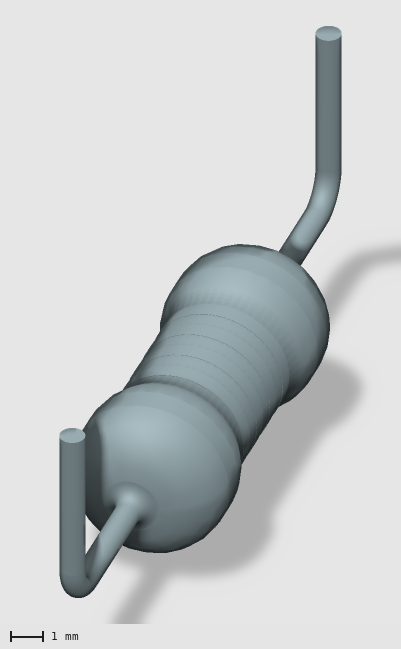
import cadquery as cq
import math

overall_length = 23.3
overall_height = 8.6

cap_diameter = 5.0
core_diameter = 4.25
body_length = 12.02
round_start = 4.26
cap_inner_edge = 3.5

band_diameter = 4.26
band_width = 0.55
band_pitch = 1.15
band_count = 4

lead_diameter = 0.8
bend_radius = 1.16
flare_radius = 0.5

cap_radius = cap_diameter / 2
core_radius = core_diameter / 2
lead_radius = lead_diameter / 2
outer_band_y = (band_count - 1) / 2 * band_pitch
core_half_length = outer_band_y + band_width / 2
body_half = body_length / 2
lead_y = overall_length / 2 - lead_radius
lead_top = overall_height - cap_radius
diagonal = math.sqrt(0.5)


def end_cap():
    """Revolve the +Y end from inside its outermost band: S-shaped waist blend, rounded cap and lead flare."""
    blend_mid = ((core_radius + cap_radius) / 2, (core_half_length + cap_inner_edge) / 2)
    flare_outer = lead_radius + flare_radius
    flare_end = body_half + flare_radius
    flare_mid = (
        flare_outer - flare_radius * diagonal,
        flare_end - flare_radius * diagonal,
    )
    return (
        cq.Workplane("XY")
        .moveTo(0, outer_band_y)
        .lineTo(core_radius, outer_band_y)
        .lineTo(core_radius, core_half_length)
        .tangentArcPoint(blend_mid, relative=False)
        .tangentArcPoint((cap_radius, cap_inner_edge), relative=False)
        .lineTo(cap_radius, round_start)
        .tangentArcPoint((flare_outer, body_half), relative=False)
        .threePointArc(flare_mid, (lead_radius, flare_end))
        .lineTo(0, flare_end)
        .close()
        .revolve(360, (0, 0), (0, 1))
    )


def disc(diameter, width, center_y):
    """Solid disc on the Y axis, centred at center_y."""
    return (
        cq.Workplane("XZ", origin=(0, center_y + width / 2, 0))
        .circle(diameter / 2)
        .extrude(width)
    )


def lead():
    """Round wire along +Y from the cap, bent up to +Z."""
    bend_start = lead_y - bend_radius
    bend_mid = (bend_start + bend_radius * diagonal, bend_radius * (1 - diagonal))
    path = (
        cq.Workplane("YZ")
        .moveTo(round_start, 0)
        .lineTo(bend_start, 0)
        .threePointArc(bend_mid, (lead_y, bend_radius))
        .lineTo(lead_y, lead_top)
    )
    return cq.Workplane("XZ", origin=(0, round_start, 0)).circle(lead_radius).sweep(path)


end = end_cap().union(lead())
core = disc(core_diameter, 2 * core_half_length, 0)
for index in range(band_count):
    band_y = index * band_pitch - outer_band_y
    core = core.union(disc(band_diameter, band_width, band_y))
result = core.union(end).union(end.mirror("XZ"))